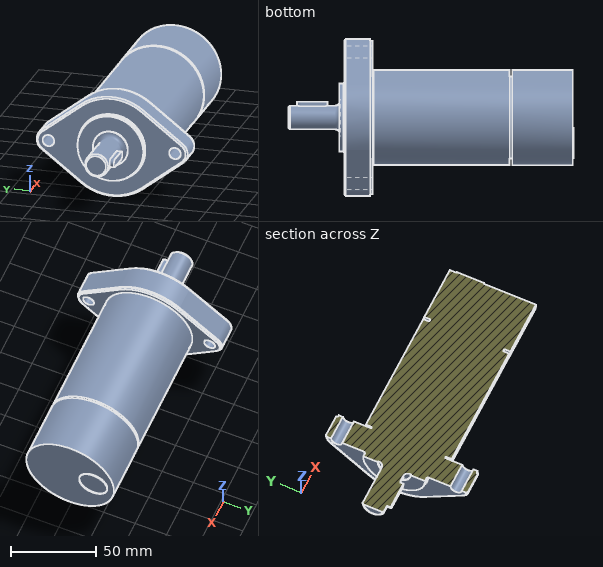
import cadquery as cq
import math


shaft_fillet_x = 27.4
boss_front = 29.7
flange_front = 32.7
flange_back = 49.3
body_front = 50.0
body_back = 129.6
rear_front = 131.0
rear_back = 166.5
overall_length = 167.0

shaft_radius = 14.0 / 2
shaft_chamfer = 1.0

boss_radius = 40.0 / 2
boss_foot_radius = 41.2 / 2
boss_foot_height = 0.5
recess_radius = 21.2 / 2
fillet_end_radius = 19.9 / 2
shaft_fillet = fillet_end_radius - shaft_radius
recess_floor = shaft_fillet_x + shaft_fillet

flange_radius = 62.0 / 2
flange_half_width = 92.0 / 2
ear_offset = 38.5
ear_radius = flange_half_width - ear_offset
ear_hole_diameter = 7.0
flange_chamfer = 1.0
lip_inset = 1.0
lip_thickness = 1.3

body_radius = 55.8 / 2
rear_radius = 56.0 / 2
groove_radius = 48.1 / 2

key_front = 5.0
key_length = 18.0
key_width = 5.0
key_top = 9.4

cap_radius = 17.9 / 2
cap_offset = 14.9


def cylinder(radius, start, end, offset=0):
    """Cylinder along X from start to end, with its axis moved along Y by offset."""
    return cq.Workplane("YZ", origin=(start, offset, 0)).circle(radius).extrude(end - start)


def flange_plate(inset, start, end):
    """Rhombic plate: a central disc joined to two ears by tangent flats, shrunk by inset all round."""
    disc = flange_radius - inset
    ear = ear_radius - inset
    slope = (disc - ear) / ear_offset
    rise = math.sqrt(1 - slope**2)
    disc_y = disc * slope
    disc_z = disc * rise
    ear_y = ear_offset + ear * slope
    ear_z = ear * rise
    tip_y = ear_offset + ear
    return (
        cq.Workplane("YZ", origin=(start, 0, 0))
        .moveTo(-disc_y, disc_z)
        .threePointArc((0, disc), (disc_y, disc_z))
        .lineTo(ear_y, ear_z)
        .threePointArc((tip_y, 0), (ear_y, -ear_z))
        .lineTo(disc_y, -disc_z)
        .threePointArc((0, -disc), (-disc_y, -disc_z))
        .lineTo(-ear_y, -ear_z)
        .threePointArc((-tip_y, 0), (-ear_y, ear_z))
        .close()
        .extrude(end - start)
    )


def make_flange():
    """Plate with a chamfered front edge, a slightly smaller lip behind it and a hole in each ear."""
    lip_front = flange_back - lip_thickness
    plate = flange_plate(0, flange_front, lip_front).faces("<X").chamfer(flange_chamfer)
    lip = flange_plate(lip_inset, lip_front, flange_back)
    flange = plate.union(lip)
    for side in (-1, 1):
        hole = cylinder(ear_hole_diameter / 2, flange_front, flange_back, side * ear_offset)
        flange = flange.cut(hole)
    return flange


def make_shaft_and_boss():
    """Chamfered shaft flaring into a recess in the boss, as one revolved profile."""
    mid_fillet = shaft_fillet * math.sqrt(0.5)
    return (
        cq.Workplane("XY")
        .moveTo(0, 0)
        .lineTo(0, shaft_radius - shaft_chamfer)
        .lineTo(shaft_chamfer, shaft_radius)
        .lineTo(shaft_fillet_x, shaft_radius)
        .threePointArc(
            (shaft_fillet_x + mid_fillet, fillet_end_radius - mid_fillet),
            (recess_floor, fillet_end_radius),
        )
        .lineTo(recess_floor, recess_radius)
        .lineTo(boss_front, recess_radius)
        .lineTo(boss_front, boss_radius)
        .lineTo(flange_front - boss_foot_height, boss_radius)
        .lineTo(flange_front, boss_foot_radius)
        .lineTo(flange_front, 0)
        .close()
        .revolve(360, (0, 0, 0), (1, 0, 0))
    )


def make_key():
    """Round-ended key standing out of the shaft toward -Y."""
    return (
        cq.Workplane("XZ", origin=(key_front + key_length / 2, 0, 0))
        .slot2D(key_length, key_width)
        .extrude(key_top)
    )


def make_motor():
    """Two-piece housing on a smaller core that shows as grooves, with the offset rear cap."""
    core = cylinder(groove_radius, flange_back, rear_back)
    body = cylinder(body_radius, body_front, body_back)
    rear = cylinder(rear_radius, rear_front, rear_back)
    cap = cylinder(cap_radius, rear_back, overall_length, cap_offset)
    return core.union(body).union(rear).union(cap)


result = make_flange().union(make_shaft_and_boss()).union(make_key()).union(make_motor())